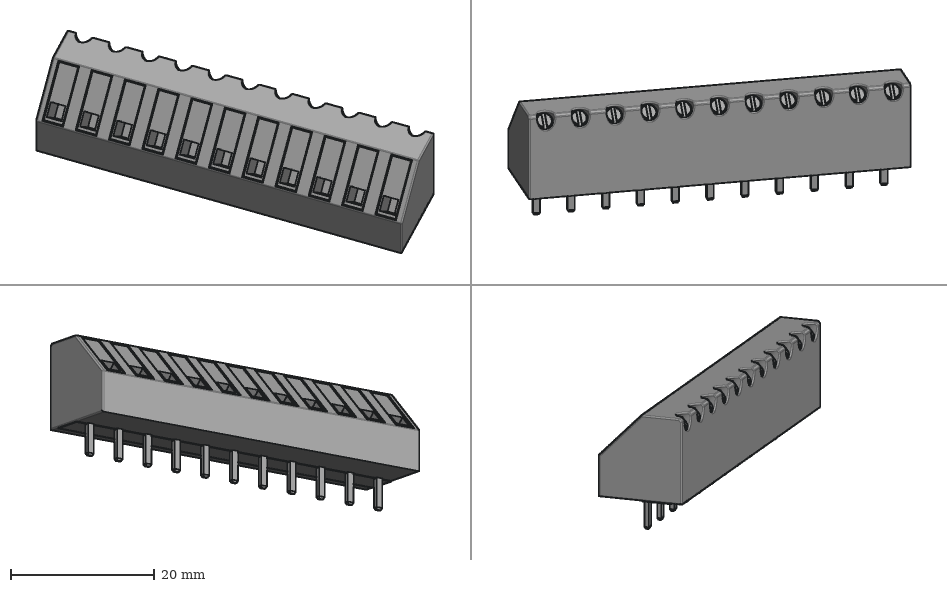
import cadquery as cq
import math

length = 55.0
depth = 12.5
height = 12.5
slope_run = 6.5
back_chamfer = 0.4
edge_radius = 0.2

pole_count = 11
pitch = length / pole_count

window_width = 3.15
window_margin = 0.2
window_recess = 0.1
window_wall_run = 0.15
wire_hole_width = 2.2
wire_hole_height = 2.2
wire_hole_edge_gap = 0.9
wire_hole_depth = 4.4

bore_diameter = 2.5
bore_mouth_radius = 0.15
bore_depth = 1.9
bore_setback = 0.3
screw_diameter = 2.15
screw_sink = 1.65
screw_slot_width = 0.5

pin_width = 1.0
pin_thickness = 0.65
pin_length = 4.6
pin_setback = 6.0
pin_tip_height = 0.35
pin_tip_inset = 0.15

standoff_height = 0.1
standoff_back_gap = 1.65

pole_positions = [(i - (pole_count - 1) / 2) * pitch for i in range(pole_count)]
slope_length = slope_run * math.sqrt(2)


def make_housing():
    """Extrude the sloped side profile along X and round every edge except the long floor edges."""
    profile = [
        (-depth, 0),
        (0, 0),
        (0, height - back_chamfer),
        (-back_chamfer, height),
        (slope_run - depth, height),
        (-depth, height - slope_run),
    ]
    housing = cq.Workplane("YZ").polyline(profile).close().extrude(length / 2, both=True)
    upper_edges = [edge for edge in housing.edges("|X").vals() if edge.Center().z > edge_radius]
    housing = housing.newObject(upper_edges).fillet(edge_radius)
    return housing.faces("<X or >X").edges().fillet(edge_radius)


def slope_plane(x):
    """Plane on the slope: local X along the part, local Y up the slope from its lower edge."""
    lower_edge = (x, -depth, height - slope_run)
    return cq.Plane(origin=lower_edge, xDir=(1, 0, 0), normal=(0, -1, 1))


def window(x):
    """Shallow recess with flared walls over nearly the whole slope."""
    window_height = slope_length - 2 * window_margin
    return (
        cq.Workplane(slope_plane(x))
        .center(0, slope_length / 2)
        .rect(window_width, window_height)
        .workplane(offset=-window_recess)
        .rect(window_width - 2 * window_wall_run, window_height - 2 * window_wall_run)
        .loft(combine=True)
    )


def wire_hole(x):
    """Rectangular hole going straight into the slope near its lower edge."""
    return (
        cq.Workplane(slope_plane(x))
        .center(0, wire_hole_edge_gap + wire_hole_height / 2)
        .rect(wire_hole_width, wire_hole_height)
        .extrude(-wire_hole_depth)
    )


def back_edge_workplane(x):
    """Workplane facing up and back at 45 degrees, level with the top and just behind the back."""
    return cq.Workplane(cq.Plane(origin=(x, bore_setback, height), xDir=(-1, 0, 0), normal=(0, 1, 1)))


def screw_bore(x):
    floor = back_edge_workplane(x).workplane(offset=-bore_depth)
    return floor.circle(bore_diameter / 2).extrude(2 * bore_depth)


def screw_head(x):
    """Head standing on the floor of the bore, split by its driver slot."""
    floor = back_edge_workplane(x).workplane(offset=-bore_depth)
    head_height = bore_depth - screw_sink
    head = floor.circle(screw_diameter / 2).extrude(head_height)
    slot = floor.rect(screw_slot_width, screw_diameter).extrude(head_height)
    return head.cut(slot)


def pin(x):
    """Straight pin ending in a short taper."""
    shank = (
        cq.Workplane("XY")
        .center(x, -pin_setback)
        .rect(pin_width, pin_thickness)
        .extrude(pin_tip_height - pin_length)
    )
    return (
        shank.faces("<Z").workplane(centerOption="CenterOfMass")
        .rect(pin_width, pin_thickness)
        .workplane(offset=pin_tip_height)
        .rect(pin_width - 2 * pin_tip_inset, pin_thickness - 2 * pin_tip_inset)
        .loft(combine=True)
    )


def make_standoff():
    """Low rail under the housing, from near the back face to the pins."""
    rail_depth = pin_setback - standoff_back_gap
    return (
        cq.Workplane("XY")
        .center(0, -standoff_back_gap - rail_depth / 2)
        .rect(length - 2 * edge_radius, rail_depth)
        .extrude(-standoff_height)
    )


def at_every_pole(make_feature):
    """One copy of a feature at each pole, gathered for a single cut or union."""
    return cq.Workplane().newObject([make_feature(x).val() for x in pole_positions])


result = make_housing().cut(at_every_pole(screw_bore))
result = result.edges("%ELLIPSE").edges(">Z").fillet(bore_mouth_radius)
result = result.cut(at_every_pole(window)).cut(at_every_pole(wire_hole))
result = result.union(at_every_pole(screw_head)).union(make_standoff()).union(at_every_pole(pin))